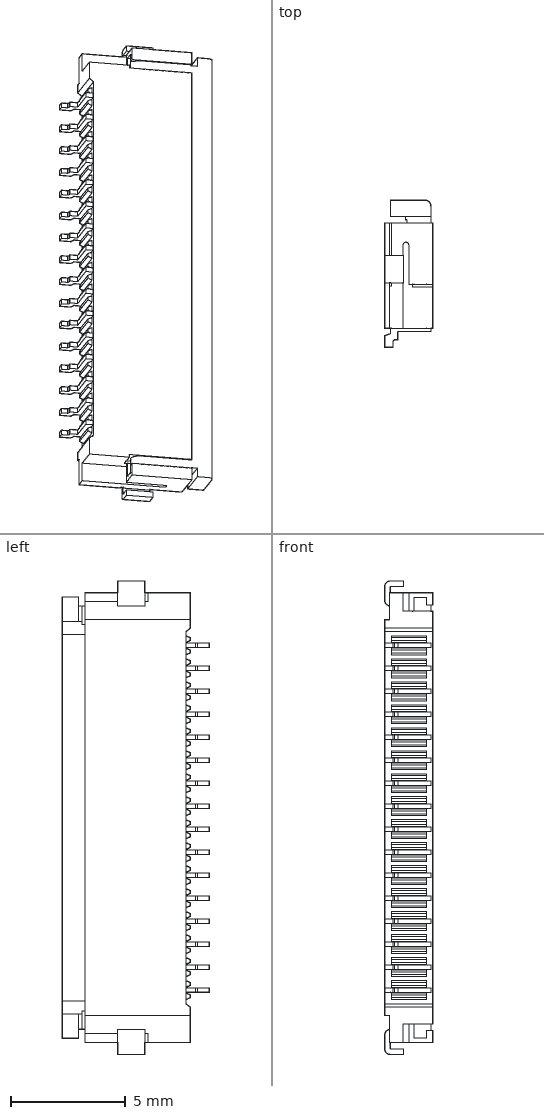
import cadquery as cq


height = 2.1
depth = 6.4
length = 20.6

body_front = 0.82
body_back = 5.42
body_half = 9.78
middle_half = 8.61
end_clearance = 0.2
face_recess = 0.19
face_half = 8.1
face_bevel = 0.15

floor_z = 8.98
wall_x = 0.8
slot_width = 0.25
slot_end = 4.57
block_front = 2.75
window_x = (1.28, 1.83)
window_top = 9.58
side_opening_top = 9.25
arm_bottom = 1.22
arm_well_front = 2.62
arm_well_z = 8.85
ledge_front = 2.68
ledge_z = 9.4
ledge_depth = 0.1

contact_count = 16
row_span = 15.0
pitch = row_span / (contact_count - 1)
contact_width = 0.2
contact_front = 0.68
contact_top = 2.02
contact_bottom = 0.25
tail_top = 0.37
tail_shoulder = 0.33
tail_shoulder_x = 0.58
tail_bevel = 0.06
tail_bend_bottom = 0.52
tail_bend_top = 0.6

hump_x = (0.3, 1.83)
hump_offset = 0.27
hump_base = 0.29
hump_crest = 0.12

clip_y = (2.8, 4.0)
clip_thickness = 0.25
clip_arm_end = 0.82
clip_bottom = 9.2
clip_radius = 0.25

actuator_top = 2.02
latch_bottom = 0.25
latch_front = 5.69
latch_z = (8.53, 9.6)
latch_radius = 0.27
neck_bottom = 0.9
neck_top_z = 9.2
arm_tip = 2.8
root_back = 5.55
root_bottom = 0.97
root_z = 8.4
flank_bottom = 1.0
plate_half = 7.97
plate_bottom = 1.11
plate_edge_radius = 0.19


def block(x_range, y_range, z_range):
    """Box spanning the three given ranges."""
    spans = [x_range, y_range, z_range]
    sizes = [high - low for low, high in spans]
    corner = tuple(low for low, high in spans)
    return cq.Workplane("XY").box(*sizes, centered=False).translate(corner)


def both_ends(shape):
    """The shape together with its mirror image at the other end."""
    return shape.union(shape.mirror("XY"))


def extrude_z(points, z_low, z_high):
    """Closed XY outline extruded between two Z levels."""
    return cq.Workplane("XY").workplane(offset=z_low).polyline(points).close().extrude(z_high - z_low)


def housing():
    """Housing body with its contact face set back between bevelled ends."""
    middle = block((0, height), (body_front, body_back), (-middle_half, middle_half))
    ends = block((end_clearance, height), (body_front, body_back), (-body_half, body_half))
    bevel_half = face_half + face_bevel
    recess_back = body_front + face_recess
    recess = (
        cq.Workplane("YZ")
        .polyline([
            (body_front, -bevel_half),
            (recess_back, -face_half),
            (recess_back, face_half),
            (body_front, bevel_half),
        ])
        .close()
        .extrude(height)
    )
    return middle.union(ends).cut(recess)


def end_pocket():
    """Material removed from the upper end of the housing."""
    block_x = wall_x + slot_width
    slot_radius = slot_width / 2
    corner = block((wall_x, height), (body_front, block_front), (floor_z, body_half))
    slot = block((wall_x, block_x), (body_front, slot_end - slot_radius), (floor_z, body_half))
    slot_round = (
        cq.Workplane("XY")
        .workplane(offset=floor_z)
        .center(wall_x + slot_radius, slot_end - slot_radius)
        .circle(slot_radius)
        .extrude(body_half - floor_z)
    )
    window = block(window_x, (block_front, body_back), (floor_z, window_top))
    opening = block((window_x[0], height), (block_front, body_back), (floor_z, side_opening_top))
    arm_well = block((arm_bottom, height), (arm_well_front, body_back), (arm_well_z, floor_z))
    ledge = block(
        (end_clearance, end_clearance + ledge_depth),
        (ledge_front, body_back),
        (ledge_z, body_half),
    )
    pocket = corner.union(slot).union(slot_round)
    return pocket.union(window).union(opening).union(arm_well).union(ledge)


def clip():
    """J-shaped clip that curls from the housing wall over its end."""
    half_length = length / 2
    inner_x = clip_thickness
    inner_z = half_length - clip_thickness
    embed_x = end_clearance + ledge_depth
    return (
        cq.Workplane("XZ", origin=(0, clip_y[1], 0))
        .moveTo(clip_arm_end, half_length)
        .lineTo(clip_radius, half_length)
        .radiusArc((0, half_length - clip_radius), -clip_radius)
        .lineTo(0, clip_bottom + clip_radius)
        .radiusArc((clip_radius, clip_bottom), -clip_radius)
        .lineTo(embed_x, clip_bottom)
        .lineTo(embed_x, body_half)
        .lineTo(inner_x, body_half)
        .lineTo(inner_x, inner_z)
        .lineTo(clip_arm_end, inner_z)
        .close()
        .extrude(clip_y[1] - clip_y[0])
    )


def contact(z):
    """Contact with its stepped solder tail, centred at the given Z."""
    face = body_front + face_recess
    outline = [
        (contact_bottom, face),
        (contact_bottom, tail_bend_top),
        (0, tail_bend_bottom),
        (0, 0),
        (tail_top, 0),
        (tail_top, tail_shoulder - tail_bevel),
        (tail_top + tail_bevel, tail_shoulder),
        (tail_shoulder_x, tail_shoulder),
        (tail_shoulder_x, contact_front),
        (contact_top, contact_front),
        (contact_top, face),
    ]
    return extrude_z(outline, z - contact_width / 2, z + contact_width / 2)


def hump(z):
    """Tapered rib on the contact face, centred at the given Z."""
    face = body_front + face_recess
    return (
        cq.Workplane("YZ", origin=(hump_x[0], 0, 0))
        .polyline([
            (face, z - hump_base / 2),
            (body_front, z - hump_crest / 2),
            (body_front, z + hump_crest / 2),
            (face, z + hump_base / 2),
        ])
        .close()
        .extrude(hump_x[1] - hump_x[0])
    )


def pivot_arm():
    """Round-tipped arm running from the actuator through the housing window."""
    radius = (actuator_top - arm_bottom) / 2
    shoulder = arm_tip + radius
    return (
        cq.Workplane("XY", origin=(0, 0, arm_well_z))
        .moveTo(arm_bottom, body_back)
        .lineTo(arm_bottom, shoulder)
        .threePointArc((arm_bottom + radius, arm_tip), (actuator_top, shoulder))
        .lineTo(actuator_top, body_back)
        .close()
        .extrude(window_top - arm_well_z)
    )


def actuator_end():
    """Latch block, neck and pivot arm at the upper end of the actuator."""
    latch = block((latch_bottom, actuator_top), (latch_front, depth), latch_z)
    latch = latch.edges(">X and >Y").fillet(latch_radius)
    neck = block((neck_bottom, actuator_top), (root_back, latch_front), (latch_z[0], neck_top_z))
    root = block((root_bottom, actuator_top), (body_back, root_back), (root_z, neck_top_z))
    flank = block((flank_bottom, actuator_top), (body_back, depth), (plate_half, latch_z[0]))
    flank = flank.edges(">X and >Y").fillet(latch_radius)
    return latch.union(neck).union(root).union(flank).union(pivot_arm())


def actuator_plate():
    """Plate joining the two ends of the actuator."""
    plate = block((plate_bottom, actuator_top), (body_back, depth), (-plate_half, plate_half))
    plate = plate.edges(">X and >Y").fillet(latch_radius)
    return plate.edges("<X and >Y").fillet(plate_edge_radius)


result = housing().cut(both_ends(end_pocket()))
result = result.union(both_ends(clip()))
result = result.union(both_ends(actuator_end())).union(actuator_plate())

for index in range(contact_count):
    contact_z = index * pitch - row_span / 2
    result = result.union(contact(contact_z))
    for side in (-1, 1):
        result = result.union(hump(contact_z + side * hump_offset))